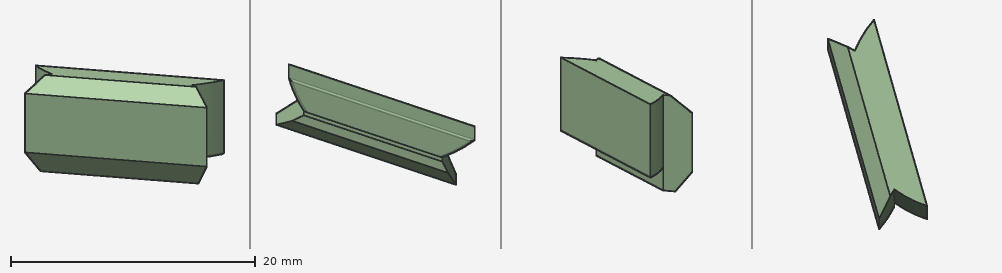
import cadquery as cq

length = 16.08
depth = 4.0
height = 8.1

wedge_depth = 1.78
front_length = 15.53
notch_length = front_length - 2 * wedge_depth

top_bevel = 1.32
bottom_bevel_depth = 1.05
bottom_bevel_height = 1.8

rear_height = height - bottom_bevel_height
end_bulge = 0.12
bottom_edge_radius = 0.2


def make_wedge():
    """Bevelled bar with its ends mitred at 45 degrees."""
    profile = (
        cq.Workplane("YZ")
        .polyline([
            (wedge_depth, 0),
            (bottom_bevel_depth, 0),
            (0, bottom_bevel_height),
            (0, height - top_bevel),
            (top_bevel, height),
            (wedge_depth, height),
        ])
        .close()
        .extrude(length / 2, both=True)
    )
    mitred_plan = (
        cq.Workplane("XY")
        .polyline([
            (-front_length / 2, 0),
            (front_length / 2, 0),
            (notch_length / 2, wedge_depth),
            (-notch_length / 2, wedge_depth),
        ])
        .close()
        .extrude(height)
    )
    return profile.intersect(mitred_plan)


def make_rear_block():
    """Block with convex ends and rounded lower edges at the back and ends."""
    block = (
        cq.Workplane("XY", origin=(0, 0, bottom_bevel_height))
        .moveTo(-notch_length / 2, wedge_depth)
        .lineTo(notch_length / 2, wedge_depth)
        .sagittaArc((length / 2, depth), -end_bulge)
        .lineTo(-length / 2, depth)
        .sagittaArc((-notch_length / 2, wedge_depth), -end_bulge)
        .close()
        .extrude(rear_height)
    )
    return block.faces("<Z").edges(">Y or >X or <X").fillet(bottom_edge_radius)


result = make_wedge().union(make_rear_block())